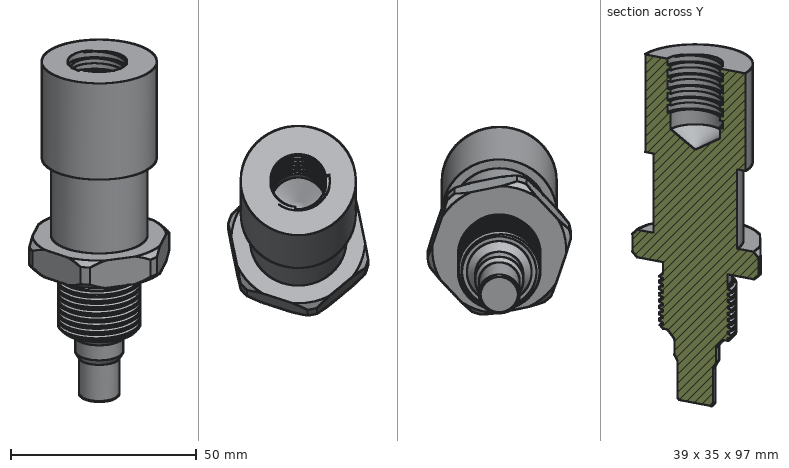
import cadquery as cq
import math

TIP_TOP = 11.0
COLLAR_BOTTOM = 12.75
COLLAR_TOP = 17.1
THREAD_BOTTOM = 19.5
THREAD_TOP = 35.5
HEX_BOTTOM = 38.5
HEX_TOP = 46.5
HEAD_BOTTOM = 69.0
HEAD_TOP = 97.0

TIP_DIA = 11.0
COLLAR_DIA = 13.0
FLARE_DIA = 17.4
NECK_DIA = 20.0
BODY_DIA = 26.0
HEAD_DIA = 31.0
TIP_CHAMFER = 0.5
FLARE_SAGITTA = 0.1

HEX_ACROSS_FLATS = 35.0
HEX_ROUND_DIA = 39.0
HEX_CHAMFER = 1.5

THREAD_DIA = 22.3
THREAD_PITCH = 1.81
RIDGE_BASE = 1.7
RIDGE_CREST = 0.6
RIDGE_START_ANGLE = 180.0
RIDGE_CREST_HEIGHT = 34.6
RIDGE_OVERLAP = 0.2
SLEEVE_CLEARANCE = 0.5

HOLE_DIA = 15.0
HOLE_DEPTH = 20.0
DRILL_POINT_ANGLE = 118.0
GROOVE_DIA = 17.0
GROOVE_PITCH = 3.36
GROOVE_WIDTH = 2.0
GROOVE_TURNS = 5
GROOVE_START_ANGLE = 270.0
GROOVE_OVERLAP = 0.3


def revolve_profile(profile):
    """Revolve a closed half profile, drawn as (radius, height), about Z."""
    return profile.close().revolve(360, (0, 0, 0), (0, 1, 0))


def helical_sweep(points, radius, pitch, turns, base_height, start_angle):
    """Sweep a (radius, height) section up a right-handed helix about Z."""
    helix = cq.Wire.makeHelix(pitch, pitch * turns, radius)
    section = cq.Workplane("XZ").polyline(points).close()
    coil = section.sweep(cq.Workplane(helix), isFrenet=True)
    return coil.rotate((0, 0, 0), (0, 0, 1), start_angle).translate((0, 0, base_height))


def turned_body():
    tip_radius = TIP_DIA / 2
    profile = (
        cq.Workplane("XZ")
        .moveTo(0, 0)
        .lineTo(tip_radius - TIP_CHAMFER, 0)
        .lineTo(tip_radius, TIP_CHAMFER)
        .lineTo(tip_radius, TIP_TOP)
        .lineTo(COLLAR_DIA / 2, COLLAR_BOTTOM)
        .lineTo(COLLAR_DIA / 2, COLLAR_TOP)
        .sagittaArc((FLARE_DIA / 2, THREAD_BOTTOM), FLARE_SAGITTA)
        .lineTo(NECK_DIA / 2, THREAD_BOTTOM)
        .lineTo(NECK_DIA / 2, HEX_TOP)
        .lineTo(BODY_DIA / 2, HEX_TOP)
        .lineTo(BODY_DIA / 2, HEAD_BOTTOM)
        .lineTo(HEAD_DIA / 2, HEAD_BOTTOM)
        .lineTo(HEAD_DIA / 2, HEAD_TOP)
        .lineTo(0, HEAD_TOP)
    )
    return revolve_profile(profile)


def hex_flange():
    """Hexagon with flats facing +Y and -Y, rounded corners and both rims chamfered."""
    height = HEX_TOP - HEX_BOTTOM
    corner_dia = HEX_ACROSS_FLATS / math.cos(math.pi / 6)
    hexagon = cq.Workplane("XY").polygon(6, corner_dia).extrude(height)
    rounding = cq.Workplane("XY").circle(HEX_ROUND_DIA / 2).extrude(height).edges().chamfer(HEX_CHAMFER)
    return hexagon.intersect(rounding).translate((0, 0, HEX_BOTTOM))


def external_thread():
    root = NECK_DIA / 2
    crest = THREAD_DIA / 2
    buried = root - RIDGE_OVERLAP
    section = [
        (buried, -RIDGE_BASE / 2),
        (crest, -RIDGE_CREST / 2),
        (crest, RIDGE_CREST / 2),
        (buried, RIDGE_BASE / 2),
    ]
    turns = math.ceil((THREAD_TOP - THREAD_BOTTOM) / THREAD_PITCH) + 2
    base_height = RIDGE_CREST_HEIGHT - (turns - 1) * THREAD_PITCH
    ridge = helical_sweep(section, root, THREAD_PITCH, turns, base_height, RIDGE_START_ANGLE)

    outside = crest + SLEEVE_CLEARANCE
    depth = outside - root
    sleeve = revolve_profile(
        cq.Workplane("XZ")
        .moveTo(0, THREAD_BOTTOM)
        .lineTo(root, THREAD_BOTTOM)
        .lineTo(outside, THREAD_BOTTOM + depth)
        .lineTo(outside, THREAD_TOP - depth)
        .lineTo(root, THREAD_TOP)
        .lineTo(0, THREAD_TOP)
    )
    return ridge.intersect(sleeve)


def blind_hole():
    radius = HOLE_DIA / 2
    floor = HEAD_TOP - HOLE_DEPTH
    point_depth = radius / math.tan(math.radians(DRILL_POINT_ANGLE / 2))
    profile = (
        cq.Workplane("XZ")
        .moveTo(0, floor - point_depth)
        .lineTo(radius, floor)
        .lineTo(radius, HEAD_TOP)
        .lineTo(0, HEAD_TOP)
    )
    return revolve_profile(profile)


def hole_groove():
    """Square-section helical groove that breaks out through the top face."""
    inner = HOLE_DIA / 2 - GROOVE_OVERLAP
    outer = GROOVE_DIA / 2
    half = GROOVE_WIDTH / 2
    section = [(inner, -half), (outer, -half), (outer, half), (inner, half)]
    base_height = HEAD_TOP - GROOVE_TURNS * GROOVE_PITCH
    return helical_sweep(section, HOLE_DIA / 2, GROOVE_PITCH, GROOVE_TURNS, base_height, GROOVE_START_ANGLE)


result = (
    turned_body()
    .union(hex_flange())
    .union(external_thread())
    .cut(blind_hole())
    .cut(hole_groove())
)